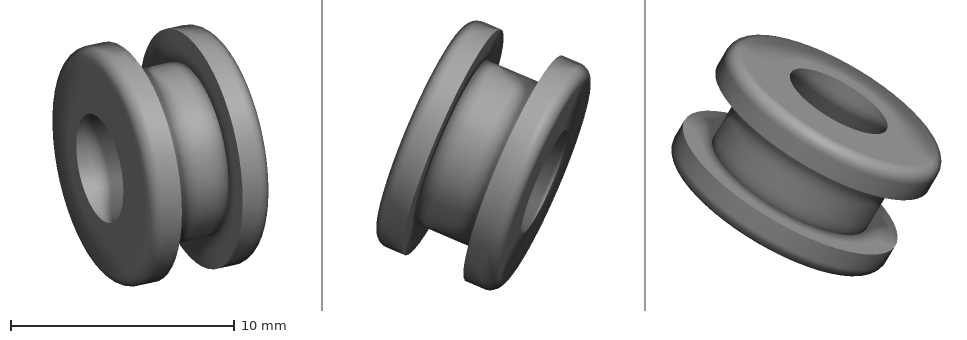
import cadquery as cq

flange_diameter = 11.0
hub_diameter = 8.0
bore_diameter = 5.0
total_length = 6.0
flange_thickness = 1.5
rim_radius = 0.6

groove_width = total_length - 2 * flange_thickness


def cylinder_along_y(diameter, length):
    """Solid cylinder centred on the origin, with its axis along Y."""
    start_plane = cq.Workplane("XZ", origin=(0, length / 2, 0))
    return start_plane.circle(diameter / 2).extrude(length)


body = cylinder_along_y(flange_diameter, total_length)
body = body.faces("<Y or >Y").edges().fillet(rim_radius)

groove = cylinder_along_y(flange_diameter, groove_width).cut(
    cylinder_along_y(hub_diameter, groove_width)
)

bore = cylinder_along_y(bore_diameter, total_length)

result = body.cut(groove).cut(bore)